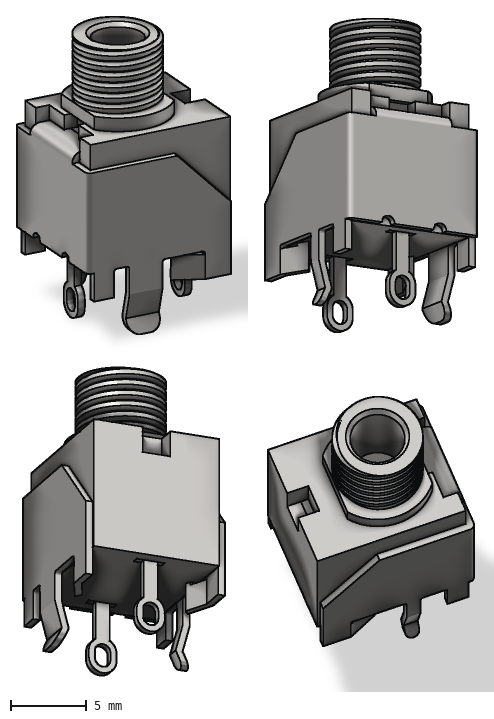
import cadquery as cq
import math


TOTAL_HEIGHT = 19.5

HOUSING_WIDTH = 8.99
HOUSING_HEIGHT = 9.0
HOUSING_FRONT = -4.5
HOUSING_BACK = 6.0
FRONT_NOTCH_DEPTH = 1.03
REAR_NOTCH_DEPTH = 1.8
FRONT_NOTCH_WIDTH = 6.05
FRONT_NOTCH_BACK = -3.5
FOLD_POCKET_BACK = -3.57
CENTRE_NOTCH_WIDTH = 1.99
CENTRE_NOTCH_BACK = -2.5
REAR_NOTCH_FRONT = 4.5

THREAD_DIAMETER = 6.0
SIX_TURN_LENGTH = 4.5
THREAD_PITCH = SIX_TURN_LENGTH / 6
GROOVE_WIDTH = 0.4
GROOVE_DEPTH = 0.33
GROOVE_START_Z = 0.08
GROOVE_OVERSHOOT = 0.1
BUSHING_HEIGHT = 5.5
FLANGE_DIAMETER = 7.5
FLANGE_HEIGHT = 0.95
BORE_DIAMETER = 3.6
BORE_CHAMFER = 0.3

SHEET = 0.5
SHELL_HALF_WIDTH = HOUSING_WIDTH / 2 + SHEET
SHELL_FRONT = HOUSING_FRONT - SHEET
SHELL_BACK = 5.8
FOLD_RADIUS = 0.76
SHELL_TOP = -FRONT_NOTCH_DEPTH - FOLD_RADIUS
SHELL_BOTTOM = -8.95
SHELL_CORNER_RADIUS = 0.39
SHELL_CHAMFER = 4.0
FOLD_TAB_WIDTH = 5.81
TONGUE_BACK = -3.0
DRAIN_RADIUS = 0.49
DRAIN_OFFSET = 1.99

FOOT_BOTTOM = -10.95
FOOT_BACK = -3.0
ROOT_RADIUS = 0.2
SPRING_Y = -0.6
SPRING_KINK_Z = -12.83
SPRING_BOTTOM = -13.95
NARROW_SPRING_WIDTH = 1.0
NARROW_SPRING_RADIUS = 0.49
WIDE_SPRING_WIDTH = 2.5
WIDE_SPRING_RADIUS = 0.9

REAR_FOOT_BEND_Y = 3.82
REAR_FOOT_END_Y = 1.77
REAR_FOOT_ANGLE = math.radians(25)
REAR_FOOT_END_WIDTH = 0.35
RELIEF_LENGTH = 1.2
RELIEF_DEPTH = 0.25

PIN_THICKNESS = 0.53
BLADE_TOP = -REAR_NOTCH_DEPTH
PIN_NECK_WIDTH = 1.0
EYE_BOTTOM = BUSHING_HEIGHT - TOTAL_HEIGHT
EYE_WIDTH = 1.99
EYE_HEIGHT = 2.5
EYE_HOLE_WIDTH = 1.11
EYE_HOLE_HEIGHT = 1.6
PIN_BACKS = (TONGUE_BACK, REAR_NOTCH_FRONT + PIN_THICKNESS)


def block(x_range, y_range, z_range):
    """Box spanning the given (low, high) ranges."""
    (x0, x1), (y0, y1), (z0, z1) = x_range, y_range, z_range
    return cq.Workplane("XY").box(x1 - x0, y1 - y0, z1 - z0, centered=False).translate((x0, y0, z0))


def centred_block(width, y_range, z_range):
    """Box of the given X width, symmetric about X = 0."""
    return block((-width / 2, width / 2), y_range, z_range)


def make_pin(back):
    """Solder pin: a wide blade inside the housing, a neck below it and an eyelet at the end."""
    y_range = (back - PIN_THICKNESS, back)
    eye_z = EYE_BOTTOM + EYE_HEIGHT / 2
    blade = centred_block(CENTRE_NOTCH_WIDTH, y_range, (-HOUSING_HEIGHT, BLADE_TOP))
    neck = centred_block(PIN_NECK_WIDTH, y_range, (eye_z, -HOUSING_HEIGHT))
    eye_plane = cq.Workplane("XZ", origin=(0, back, eye_z))
    eye = eye_plane.slot2D(EYE_HEIGHT, EYE_WIDTH, 90).extrude(PIN_THICKNESS)
    hole = eye_plane.slot2D(EYE_HOLE_HEIGHT, EYE_HOLE_WIDTH, 90).extrude(PIN_THICKNESS)
    return blade.union(neck).union(eye).cut(hole)


def make_fold_tab():
    """Tab folded back from the front wall, flush with the front notch floor, with a narrow tongue."""
    tab_top = -FRONT_NOTCH_DEPTH
    fold_y = SHELL_FRONT + FOLD_RADIUS
    inner_radius = FOLD_RADIUS - SHEET
    outer_mid = FOLD_RADIUS * math.sqrt(0.5)
    inner_mid = inner_radius * math.sqrt(0.5)
    tab = (
        cq.Workplane("YZ", origin=(-FOLD_TAB_WIDTH / 2, 0, 0))
        .moveTo(SHELL_FRONT, SHELL_TOP)
        .threePointArc((fold_y - outer_mid, SHELL_TOP + outer_mid), (fold_y, tab_top))
        .lineTo(FRONT_NOTCH_BACK, tab_top)
        .lineTo(FRONT_NOTCH_BACK, tab_top - SHEET)
        .lineTo(fold_y, tab_top - SHEET)
        .threePointArc((fold_y - inner_mid, SHELL_TOP + inner_mid), (HOUSING_FRONT, SHELL_TOP))
        .close()
        .extrude(FOLD_TAB_WIDTH)
    )
    tongue = centred_block(CENTRE_NOTCH_WIDTH, (FRONT_NOTCH_BACK, TONGUE_BACK), (tab_top - SHEET, tab_top))
    return tab.union(tongue)


def make_housing():
    """Block with a stepped front notch, a rear notch, a pocket for the fold tab and pin slots."""
    front_z = (-FRONT_NOTCH_DEPTH, 0)
    rear_z = (-REAR_NOTCH_DEPTH, 0)
    housing = centred_block(HOUSING_WIDTH, (HOUSING_FRONT, HOUSING_BACK), (-HOUSING_HEIGHT, 0))
    housing = housing.cut(centred_block(FRONT_NOTCH_WIDTH, (HOUSING_FRONT, FRONT_NOTCH_BACK), front_z))
    housing = housing.cut(centred_block(CENTRE_NOTCH_WIDTH, (HOUSING_FRONT, CENTRE_NOTCH_BACK), front_z))
    housing = housing.cut(centred_block(CENTRE_NOTCH_WIDTH, (REAR_NOTCH_FRONT, HOUSING_BACK), rear_z))
    pocket_z = (SHELL_TOP, -FRONT_NOTCH_DEPTH)
    housing = housing.cut(centred_block(FRONT_NOTCH_WIDTH, (HOUSING_FRONT, FOLD_POCKET_BACK), pocket_z))
    housing = housing.cut(make_fold_tab())
    for back in PIN_BACKS:
        blade_y = (back - PIN_THICKNESS, back)
        housing = housing.cut(centred_block(CENTRE_NOTCH_WIDTH, blade_y, (-HOUSING_HEIGHT, BLADE_TOP)))
    return housing


def make_thread_groove():
    """Right-handed V groove that runs out through the top of the bushing."""
    radius = THREAD_DIAMETER / 2
    outer_half_width = GROOVE_WIDTH / 2 * (1 + GROOVE_OVERSHOOT / GROOVE_DEPTH)
    path = cq.Wire.makeHelix(THREAD_PITCH, BUSHING_HEIGHT + THREAD_PITCH, radius)
    groove = (
        cq.Workplane("XZ")
        .moveTo(radius - GROOVE_DEPTH, 0)
        .lineTo(radius + GROOVE_OVERSHOOT, outer_half_width)
        .lineTo(radius + GROOVE_OVERSHOOT, -outer_half_width)
        .close()
        .sweep(cq.Workplane(path), isFrenet=True)
    )
    return groove.translate((0, 0, GROOVE_START_Z))


def make_bushing():
    """Threaded tube on a round flange with two flats."""
    barrel = cq.Workplane("XY").circle(THREAD_DIAMETER / 2).extrude(BUSHING_HEIGHT).cut(make_thread_groove())
    flats = cq.Workplane("XY").rect(FLANGE_DIAMETER, THREAD_DIAMETER).extrude(FLANGE_HEIGHT)
    flange = cq.Workplane("XY").circle(FLANGE_DIAMETER / 2).extrude(FLANGE_HEIGHT).intersect(flats)
    bore = cq.Workplane("XY").circle(BORE_DIAMETER / 2).extrude(BUSHING_HEIGHT)
    bore = bore.faces(">Z").workplane().circle(BORE_DIAMETER / 2 + BORE_CHAMFER)
    bore = bore.workplane(offset=-BORE_CHAMFER).circle(BORE_DIAMETER / 2).loft(combine=True)
    return barrel.union(flange).cut(bore)


def make_shell_walls():
    """Front wall and two side walls, the sides chamfered at their upper rear corners."""
    walls = centred_block(2 * SHELL_HALF_WIDTH, (SHELL_FRONT, SHELL_BACK), (SHELL_BOTTOM, SHELL_TOP))
    walls = walls.edges("|Z and <Y").fillet(SHELL_CORNER_RADIUS)
    walls = walls.edges("|X and >Y and >Z").chamfer(SHELL_CHAMFER)
    walls = walls.cut(centred_block(HOUSING_WIDTH, (HOUSING_FRONT, SHELL_BACK), (SHELL_BOTTOM, SHELL_TOP)))
    drains = (
        cq.Workplane("XZ", origin=(0, HOUSING_FRONT, SHELL_BOTTOM))
        .pushPoints([(-DRAIN_OFFSET, 0), (DRAIN_OFFSET, 0)])
        .circle(DRAIN_RADIUS)
        .extrude(SHEET)
    )
    return walls.cut(drains)


def make_foot(side):
    """Straight foot below the front of a side wall; side is -1 or 1."""
    x_range = sorted((side * HOUSING_WIDTH / 2, side * SHELL_HALF_WIDTH))
    return block(x_range, (HOUSING_FRONT, FOOT_BACK), (FOOT_BOTTOM, SHELL_BOTTOM))


def make_root(side, edge_y, direction):
    """Concave fillet where a leg edge at edge_y meets the wall; direction points away from the leg."""
    mid = ROOT_RADIUS * (1 - math.sqrt(0.5))
    return (
        cq.Workplane("YZ", origin=(min(side * HOUSING_WIDTH / 2, side * SHELL_HALF_WIDTH), 0, 0))
        .moveTo(edge_y, SHELL_BOTTOM)
        .lineTo(edge_y + direction * ROOT_RADIUS, SHELL_BOTTOM)
        .threePointArc(
            (edge_y + direction * mid, SHELL_BOTTOM - mid),
            (edge_y, SHELL_BOTTOM - ROOT_RADIUS),
        )
        .close()
        .extrude(SHEET)
    )


def make_spring_leg(side, width, corner_radius):
    """Leg kinked inward and back out, with its lower corners rounded."""
    wall = side * SHELL_HALF_WIDTH
    inward = -side * SHEET
    leg = (
        cq.Workplane("XZ", origin=(0, SPRING_Y + width / 2, 0))
        .moveTo(wall, SHELL_BOTTOM)
        .lineTo(wall, FOOT_BOTTOM)
        .lineTo(wall + inward, SPRING_KINK_Z)
        .lineTo(wall, SPRING_BOTTOM)
        .lineTo(wall + inward, SPRING_BOTTOM)
        .lineTo(wall + 2 * inward, SPRING_KINK_Z)
        .lineTo(wall + inward, FOOT_BOTTOM)
        .lineTo(wall + inward, SHELL_BOTTOM)
        .close()
        .extrude(width)
    )
    outline = (
        cq.Workplane("YZ", origin=(-SHELL_HALF_WIDTH, SPRING_Y, 0))
        .rect(width, -2 * SPRING_BOTTOM)
        .extrude(2 * SHELL_HALF_WIDTH)
        .edges("|X and <Z")
        .fillet(corner_radius)
    )
    leg = leg.intersect(outline)
    for direction in (-1, 1):
        leg = leg.union(make_root(side, SPRING_Y + direction * width / 2, direction))
    return leg


def make_rear_foot(side):
    """Foot below the rear of a side wall: a straight part and a bevelled flap bent inward below a relief."""
    outer = SHELL_HALF_WIDTH
    inner = HOUSING_WIDTH / 2
    end_x = outer - (REAR_FOOT_BEND_Y - REAR_FOOT_END_Y) * math.tan(REAR_FOOT_ANGLE)
    bevel_length = (SHEET / math.cos(REAR_FOOT_ANGLE) - REAR_FOOT_END_WIDTH) / math.tan(REAR_FOOT_ANGLE)
    inner_bend_y = REAR_FOOT_BEND_Y + SHEET * math.tan(REAR_FOOT_ANGLE / 2)
    straight = block((inner, outer), (REAR_FOOT_BEND_Y, SHELL_BACK), (FOOT_BOTTOM, SHELL_BOTTOM))
    flap = (
        cq.Workplane("XY", origin=(0, 0, FOOT_BOTTOM))
        .moveTo(outer, REAR_FOOT_BEND_Y)
        .lineTo(end_x, REAR_FOOT_END_Y)
        .lineTo(end_x - REAR_FOOT_END_WIDTH, REAR_FOOT_END_Y + bevel_length)
        .lineTo(inner, inner_bend_y)
        .close()
        .extrude(-HOUSING_HEIGHT - FOOT_BOTTOM)
    )
    relief_y = (REAR_FOOT_BEND_Y - RELIEF_LENGTH, REAR_FOOT_BEND_Y)
    relief = block((0, outer), relief_y, (SHELL_BOTTOM - RELIEF_DEPTH, SHELL_BOTTOM))
    foot = straight.union(flap.cut(relief)).union(make_root(1, REAR_FOOT_BEND_Y, -1))
    return foot if side > 0 else foot.mirror("YZ")


def make_shell():
    """Folded sheet that wraps the front and both sides of the housing."""
    shell = make_shell_walls().union(make_fold_tab())
    for side in (-1, 1):
        shell = shell.union(make_foot(side)).union(make_root(side, FOOT_BACK, 1))
        shell = shell.union(make_rear_foot(side))
    shell = shell.union(make_spring_leg(-1, NARROW_SPRING_WIDTH, NARROW_SPRING_RADIUS))
    return shell.union(make_spring_leg(1, WIDE_SPRING_WIDTH, WIDE_SPRING_RADIUS))


housing = make_housing()
bushing = make_bushing()
shell = make_shell()
pins = [make_pin(back) for back in PIN_BACKS]

result = cq.Compound.makeCompound([housing.val(), bushing.val(), shell.val(), *[pin.val() for pin in pins]])